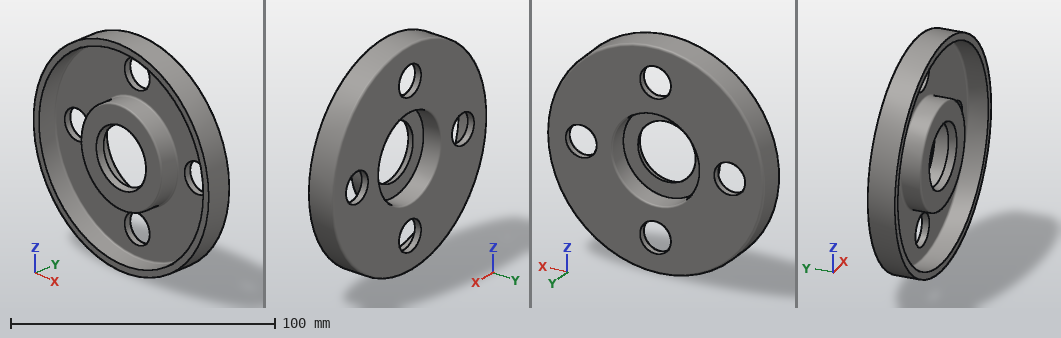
import cadquery as cq

outer_diameter = 95.0
total_width = 11.5
back_edge_radius = 1.0

rim_inner_diameter = 89.0
hub_diameter = 44.0
web_thickness = 3.0
recess_fillet = 0.8
hub_edge_fillet = 0.8

bore_front_diameter = 26.9
bore_back_diameter = 25.2
lip_thickness = 3.0

counterbore_diameter = 38.0
counterbore_edge_radius = 0.8

hole_diameter = 13.5
hole_circle_diameter = 65.0
hole_count = 4

front_y = -total_width / 2
back_y = total_width / 2
recess_floor_y = back_y - web_thickness
lip_back_y = front_y + lip_thickness


def cylinder(diameter, start_y, end_y):
    """Solid cylinder about the Y axis between two Y positions."""
    return (
        cq.Workplane("XZ", origin=(0, start_y, 0))
        .circle(diameter / 2)
        .extrude(start_y - end_y)
    )


def make_disc():
    return cylinder(outer_diameter, front_y, back_y).faces(">Y").edges().fillet(back_edge_radius)


def make_recess():
    """Ring-shaped cutter with rounded corners at the recess floor."""
    ring = cylinder(rim_inner_diameter, front_y, recess_floor_y)
    ring = ring.cut(cylinder(hub_diameter, front_y, recess_floor_y))
    return ring.faces(">Y").edges().fillet(recess_fillet)


def round_hub_edge(body):
    """Round the outer edge of the hub's front face."""
    hub_edge = cq.selectors.RadiusNthSelector(0)
    return body.faces("<Y").edges(hub_edge).fillet(hub_edge_fillet)


def round_counterbore_edge(body):
    """Round the mouth of the counterbore on the back face."""
    mouth_edge = cq.selectors.RadiusNthSelector(0)
    return body.faces(">Y").edges(mouth_edge).fillet(counterbore_edge_radius)


def make_bore():
    """Bore and counterbore cutter, revolved from a half profile in the XY plane."""
    return (
        cq.Workplane("XY")
        .moveTo(0, front_y)
        .lineTo(bore_front_diameter / 2, front_y)
        .lineTo(bore_back_diameter / 2, lip_back_y)
        .lineTo(counterbore_diameter / 2, lip_back_y)
        .lineTo(counterbore_diameter / 2, back_y)
        .lineTo(0, back_y)
        .close()
        .revolve(360, (0, 0, 0), (0, 1, 0))
    )


def make_web_holes():
    return (
        cq.Workplane("XZ", origin=(0, front_y, 0))
        .polarArray(hole_circle_diameter / 2, 0, 360, hole_count)
        .circle(hole_diameter / 2)
        .extrude(-total_width)
    )


body = make_disc().cut(make_recess())
body = round_hub_edge(body)
body = body.cut(make_bore())
body = round_counterbore_edge(body)
result = body.cut(make_web_holes())